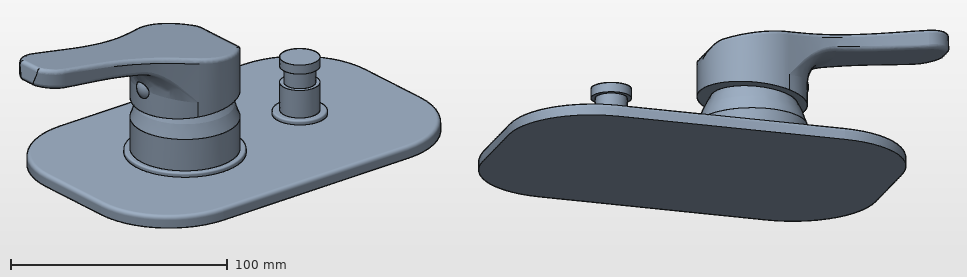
import cadquery as cq
import math

overall_length = 217.6
plate_width = 120.5
plate_length = 190.0
plate_thickness = 5.9
plate_corner_radius = 40.0
plate_edge_round = 2.0

ring_thickness = 2.0
ring_edge_round = 0.9
base_ring_radius = 28.3
diverter_ring_radius = 12.8

mixer_y = -29.0
base_radius = 25.5
base_cylinder_top = 23.7
shoulder_break_radius = 23.0
shoulder_break_height = 30.3
shoulder_top_radius = 18.5
shoulder_top_height = 39.0

diverter_y = 39.2
sleeve_radius = 9.4
sleeve_top = 21.8
stem_radius = 7.5
button_bottom = 30.0
button_top = 34.5

skirt_bottom_height = 35.7
skirt_bottom_angle = -5.0
top_height = 62.0
top_angle = 9.0
underside_height = 54.8
underside_angle = 7.5
neck_round = 15.2
back_round = 9.5
top_edge_round = 2.0
lower_edge_round = 2.0
seam_y = -10.5
split_y = -10.9
grip_waist = [(15.5, -30.5), (12.2, -52.2)]
tip_radius = 12.8
tip_centre_y = -81.6
tip_underside_height = underside_height - tip_centre_y * math.tan(math.radians(underside_angle))
tip_reach = overall_length - plate_length / 2 + mixer_y
tip_end_height = 69.2

mark_radius = 6.3
mark_y = -20.7
mark_height = 44.6

reach = 2 * overall_length


def below_plane(height, angle):
    """Block below a plane that rises toward -Y and has the given height at the axis."""
    block = cq.Workplane("XY").box(reach, reach, reach, centered=(True, True, False))
    block = block.translate((0, 0, -reach))
    return block.rotate((0, 0, 0), (1, 0, 0), -angle).translate((0, 0, height))


def make_plate():
    plate = cq.Workplane("XY").rect(plate_width, plate_length).extrude(plate_thickness)
    plate = plate.edges("|Z").fillet(plate_corner_radius)
    return plate.faces(">Z").edges().fillet(plate_edge_round)


def make_ring(outer_radius, inner_radius, y):
    ring = cq.Workplane("XY").circle(outer_radius).extrude(ring_thickness)
    ring = ring.faces(">Z").edges().fillet(ring_edge_round)
    hole = cq.Workplane("XY").circle(inner_radius).extrude(ring_thickness)
    return ring.cut(hole).translate((0, y, plate_thickness))


def make_base():
    profile = [
        (0, plate_thickness),
        (base_radius, plate_thickness),
        (base_radius, base_cylinder_top),
        (shoulder_break_radius, shoulder_break_height),
        (shoulder_top_radius, shoulder_top_height),
        (0, shoulder_top_height),
    ]
    base = cq.Workplane("XZ").polyline(profile).close().revolve(360, (0, 0), (0, 1))
    base = base.intersect(below_plane(skirt_bottom_height, skirt_bottom_angle))
    return base.translate((0, mixer_y, 0))


def make_diverter():
    profile = [
        (0, plate_thickness),
        (sleeve_radius, plate_thickness),
        (sleeve_radius, sleeve_top),
        (stem_radius, sleeve_top),
        (stem_radius, button_bottom),
        (sleeve_radius, button_bottom),
        (sleeve_radius, button_top),
        (0, button_top),
    ]
    diverter = cq.Workplane("XZ").polyline(profile).close().revolve(360, (0, 0), (0, 1))
    return diverter.translate((0, diverter_y, 0))


def grip_outline():
    """Round skirt that narrows to a long grip with a round tip."""
    seam_x = math.sqrt(base_radius**2 - seam_y**2)
    right_side = [(seam_x, seam_y), *grip_waist, (tip_radius, tip_centre_y)]
    left_side = [(-x, y) for x, y in reversed(right_side)]
    leaving = (seam_y, -seam_x)
    arriving = (0, -1)
    outline = cq.Workplane("XY").moveTo(*right_side[0])
    outline = outline.spline(right_side[1:], tangents=[leaving, arriving], includeCurrent=True)
    outline = outline.threePointArc((0, tip_centre_y - tip_radius), left_side[0])
    back = [(0, 1), (seam_y, seam_x)]
    outline = outline.spline(left_side[1:], tangents=back, includeCurrent=True)
    return outline.threePointArc((0, base_radius), right_side[0]).close()


def tilted_normal(angle):
    """Upward normal of a plane that rises toward -Y."""
    return cq.Vector(0, math.sin(math.radians(angle)), math.cos(math.radians(angle)))


def half_space(side, y):
    """Block in front of (side -1) or behind (side +1) the plane at the given Y."""
    return cq.Workplane("XY").box(reach, reach, reach).translate((0, y + side * reach / 2, 0))


def make_prism():
    """Handle outline up to the sloping top, with the flat end of the grip and the rounded top edge."""
    prism = grip_outline().extrude(reach / 2).intersect(below_plane(top_height, top_angle))
    end = half_space(-1, 0).rotate((0, 0, 0), (1, 0, 0), -top_angle)
    prism = prism.cut(end.translate((0, -tip_reach, tip_end_height)))
    top = cq.selectors.DirectionMinMaxSelector(tilted_normal(top_angle))
    return prism.faces(top).edges().fillet(top_edge_round)


def make_neck():
    """Everything above the grip's underside, the skirt below it and a round where the two meet."""
    above = cq.Workplane("XY").box(reach, reach, reach, centered=(True, True, False))
    above = above.rotate((0, 0, 0), (1, 0, 0), -underside_angle).translate((0, 0, underside_height))
    under_tip = below_plane(0, top_angle).translate((0, tip_centre_y, tip_underside_height))
    above = above.cut(under_tip.intersect(half_space(-1, tip_centre_y)))
    skirt = cq.Workplane("XY").circle(base_radius).extrude(reach / 2)
    front_corner = cq.selectors.NearestToPointSelector((0, -base_radius, underside_height))
    return above.union(skirt).edges(front_corner).fillet(neck_round)


def make_grip(prism):
    """Front of the handle, hollowed under the grip, with the lower edges rounded."""
    grip = prism.intersect(half_space(-1, split_y)).intersect(make_neck())
    underside = cq.selectors.ParallelDirSelector(tilted_normal(underside_angle))
    tip_middle = (0, tip_centre_y - tip_radius / 2, tip_underside_height)
    tip_underside = cq.selectors.NearestToPointSelector(tip_middle)
    neck_end = -base_radius - neck_round
    before_neck = cq.selectors.BoxSelector((-reach, -reach, 0), (reach, neck_end, reach))
    crease = cq.selectors.NearestToPointSelector((0, tip_centre_y, tip_underside_height))
    return grip.faces(underside + tip_underside).edges(before_neck - crease).fillet(lower_edge_round)


def make_back_limit():
    """Block whose sloping top runs down into the upright back in a wide round."""
    limit = half_space(-1, base_radius).intersect(below_plane(top_height, top_angle))
    back_corner = cq.selectors.NearestToPointSelector((0, base_radius, top_height))
    return limit.edges(back_corner).fillet(back_round)


def make_handle():
    prism = make_prism()
    skirt = prism.intersect(half_space(1, split_y)).intersect(make_back_limit())
    handle = skirt.union(make_grip(prism))
    handle = handle.cut(below_plane(skirt_bottom_height, skirt_bottom_angle))
    return handle.translate((0, mixer_y, 0))


def make_mark():
    return cq.Workplane("XY").sphere(mark_radius).translate((0, mixer_y + mark_y, mark_height))


plate = make_plate()
base_ring = make_ring(base_ring_radius, base_radius, mixer_y)
diverter_ring = make_ring(diverter_ring_radius, sleeve_radius, diverter_y)
base = make_base()
diverter = make_diverter()
mark = make_mark()
handle = make_handle().cut(mark)

result = cq.Compound.makeCompound(
    [
        plate.val(),
        base_ring.val(),
        diverter_ring.val(),
        base.val(),
        diverter.val(),
        handle.val(),
        mark.val(),
    ]
)